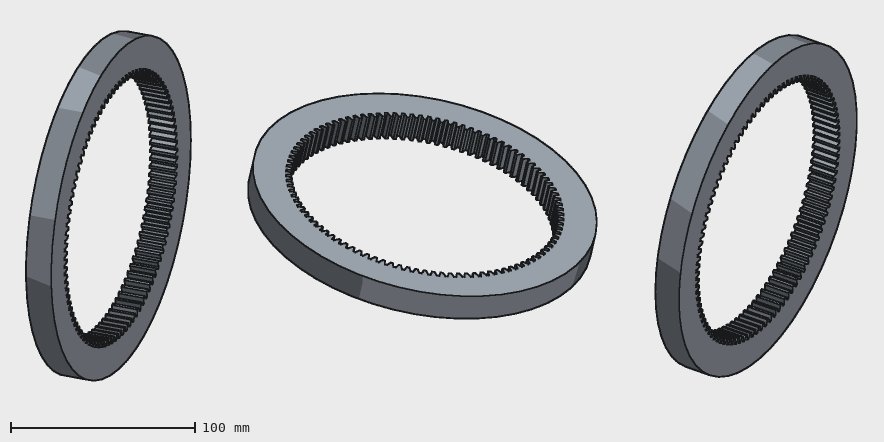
import cadquery as cq
import math

outer_diameter = 190.0
face_width = 15.0
tooth_count = 100
tip_diameter = 147.0
root_diameter = 153.3
root_gap_width = 1.48
flank_angle = 15.0

tip_radius = tip_diameter / 2
root_radius = root_diameter / 2
tooth_pitch = 2 * math.pi / tooth_count
tooth_depth = root_radius - tip_radius
tip_gap_width = root_gap_width + 2 * tooth_depth * math.tan(math.radians(flank_angle))

root_half_angle = math.asin(root_gap_width / 2 / root_radius)
tip_half_angle = math.asin(tip_gap_width / 2 / tip_radius)


def polar(radius, angle):
    return (radius * math.cos(angle), radius * math.sin(angle))


def toothed_bore():
    """Bore solid, traced tooth by tooth: flank, root arc, flank, tip arc."""
    first_space = tooth_pitch / 2
    outline = cq.Workplane("YZ").moveTo(*polar(tip_radius, first_space - tip_half_angle))
    for index in range(tooth_count):
        space = first_space + index * tooth_pitch
        next_space = space + tooth_pitch
        outline = (
            outline.lineTo(*polar(root_radius, space - root_half_angle))
            .threePointArc(polar(root_radius, space), polar(root_radius, space + root_half_angle))
            .lineTo(*polar(tip_radius, space + tip_half_angle))
            .threePointArc(
                polar(tip_radius, space + tooth_pitch / 2),
                polar(tip_radius, next_space - tip_half_angle),
            )
        )
    return outline.close().extrude(face_width)


disc = cq.Workplane("YZ").circle(outer_diameter / 2).extrude(face_width)
ring = disc.cut(toothed_bore())

result = ring.translate((-face_width / 2, 0, 0))